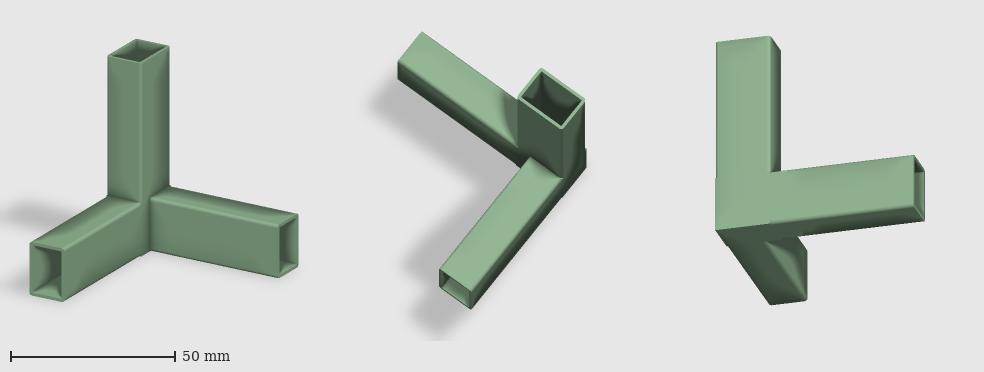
import cadquery as cq

overall_length = 63.0
section_width = 12.4
section_depth = 17.5
wall = 1.0
corner_radius = 1.0
tube_length = overall_length - section_depth


def make_hub():
    """Solid corner block with one corner at the origin, extending to +X, -Y and +Z."""
    return cq.Workplane("XY").box(section_width, section_depth, section_depth, centered=False).translate(
        (0, -section_depth, 0)
    )


def make_tube(start, direction, wide_axis):
    """Rectangular tube with rounded outer and square inner edges.

    start is the centre of the end face that meets the hub; the wide side
    of the section lies along wide_axis.
    """
    plane = cq.Plane(origin=start, xDir=wide_axis, normal=direction)
    outer = (
        cq.Workplane(plane)
        .rect(section_depth, section_width)
        .extrude(tube_length)
        .edges(cq.selectors.ParallelDirSelector(cq.Vector(*direction)))
        .fillet(corner_radius)
    )
    bore = (
        cq.Workplane(plane)
        .rect(section_depth - 2 * wall, section_width - 2 * wall)
        .extrude(tube_length)
    )
    return outer.cut(bore)


mid_width = section_width / 2
mid_depth = section_depth / 2
tube_places = [
    ((section_width, -mid_width, mid_depth), (1, 0, 0), (0, 0, 1)),
    ((mid_width, -section_depth, mid_depth), (0, -1, 0), (0, 0, 1)),
    ((mid_width, -mid_depth, section_depth), (0, 0, 1), (0, 1, 0)),
]

hub = make_hub()
tubes = [make_tube(start, direction, wide_axis) for start, direction, wide_axis in tube_places]

result = cq.Compound.makeCompound([hub.val(), *[tube.val() for tube in tubes]])